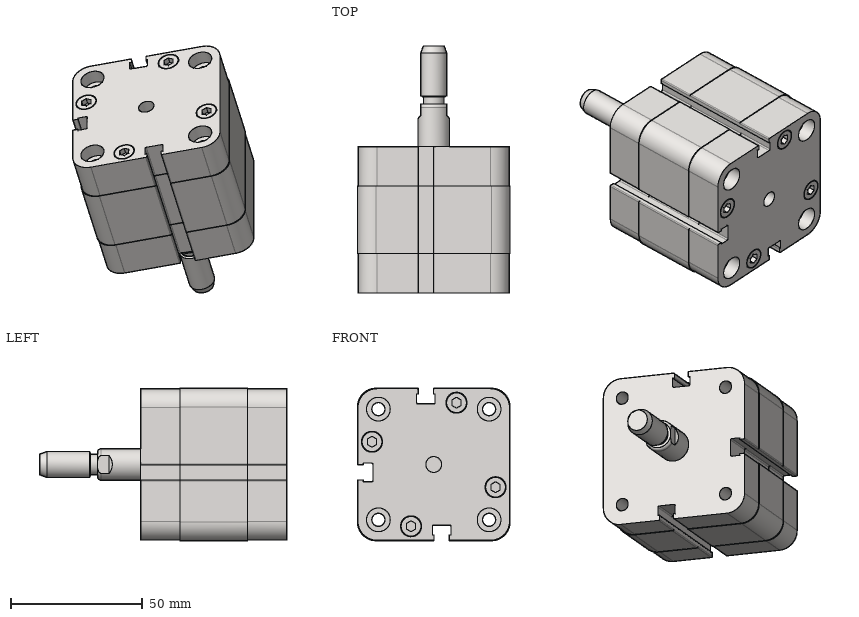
import cadquery as cq
import math

total_length = 94.0
housing_length = 55.65
cap_length = 14.9

barrel_side = 58.1
cap_side = 57.6
corner_radius = 7.1

slot_offset = 3.0
mouth_width = 5.6
undercut_width = 7.0
lip_thickness = 2.3
cap_slot_depth = 5.9
barrel_slot_depth = 6.1
mouth_rounding = 0.4
lip_rounding = 0.2
floor_rounding = 0.5

mount_position = 21.1
mount_diameter = 4.9
mount_counterbore = 9.0
mount_counterbore_depth = 5.5

centre_diameter = 6.0
centre_depth = 9.4

screw_near_offset = 8.65
screw_far_offset = 23.5
screw_seat_diameter = 8.0
screw_head_diameter = 7.5
screw_gap_depth = 3.8
hex_across_flats = 3.6
hex_depth = 2.35
hex_turn = 30

rod_diameter = 12.0
shoulder_setback = 22.0
shoulder_length = 1.4
shoulder_radius = 1.5
flat_spacing = 10.0
flat_length = 4.4
flat_runout = 1.2

thread_diameter = 10.0
thread_setback = 19.4
thread_root_diameter = 8.6
thread_bevel_length = 0.4
groove_diameter = 7.9
tip_diameter = 8.0
tip_length = 2.7


def square_section(side, slot_depth, start, length):
    """Rounded square bar along Y from start, with T-slots in its top, left and bottom faces."""
    bar = (
        cq.Workplane("XY")
        .box(side, length, side)
        .edges("|Y")
        .fillet(corner_radius)
        .translate((0, start + length / 2, 0))
    )
    slot = slot_cutter(side / 2, slot_depth, start, length)
    for angle in (0, -90, -180):
        bar = bar.cut(slot.rotate((0, 0, 0), (0, 1, 0), angle))
    return bar


def slot_cutter(half_side, slot_depth, start, length):
    """T-slot of the top face: rounded floor corners and lips, and a mouth with rounded outer edges."""
    lip_bottom = barrel_side / 2 - lip_thickness
    floor = barrel_side / 2 - slot_depth
    mouth_half = mouth_width / 2
    undercut_half = undercut_width / 2
    flare_half = mouth_half + mouth_rounding
    round_start = half_side - mouth_rounding
    return (
        cq.Workplane("XZ", origin=(-slot_offset, start, 0))
        .moveTo(-undercut_half + floor_rounding, floor)
        .lineTo(undercut_half - floor_rounding, floor)
        .radiusArc((undercut_half, floor + floor_rounding), -floor_rounding)
        .lineTo(undercut_half, lip_bottom)
        .lineTo(mouth_half + lip_rounding, lip_bottom)
        .radiusArc((mouth_half, lip_bottom + lip_rounding), lip_rounding)
        .lineTo(mouth_half, round_start)
        .radiusArc((flare_half, half_side), mouth_rounding)
        .lineTo(-flare_half, half_side)
        .radiusArc((-mouth_half, round_start), mouth_rounding)
        .lineTo(-mouth_half, lip_bottom + lip_rounding)
        .radiusArc((-mouth_half - lip_rounding, lip_bottom), lip_rounding)
        .lineTo(-undercut_half, lip_bottom)
        .lineTo(-undercut_half, floor + floor_rounding)
        .radiusArc((-undercut_half + floor_rounding, floor), -floor_rounding)
        .close()
        .extrude(-length)
    )


def rear_workplane():
    """Sketch plane on the rear face: local x is X, local y is Z, and negative extrusions go to +Y."""
    return cq.Workplane("XZ")


def mounting_holes():
    """Counterbored corner holes that run through the housing."""
    spacing = 2 * mount_position
    centres = rear_workplane().rect(spacing, spacing, forConstruction=True).vertices()
    through = centres.circle(mount_diameter / 2).extrude(-housing_length)
    seats = centres.circle(mount_counterbore / 2).extrude(-mount_counterbore_depth)
    return through.union(seats)


def screw_recesses():
    """Ring gaps around the screw heads and their hexagon sockets."""
    points = [
        (screw_near_offset, screw_far_offset),
        (-screw_far_offset, screw_near_offset),
        (-screw_near_offset, -screw_far_offset),
        (screw_far_offset, -screw_near_offset),
    ]
    gaps = (
        rear_workplane()
        .pushPoints(points)
        .circle(screw_seat_diameter / 2)
        .circle(screw_head_diameter / 2)
        .extrude(-screw_gap_depth)
    )
    hex_across_corners = hex_across_flats / math.cos(math.pi / 6)
    socket = (
        rear_workplane()
        .polygon(6, hex_across_corners)
        .extrude(-hex_depth)
        .rotate((0, 0, 0), (0, 1, 0), hex_turn)
    )
    recesses = gaps
    for x, z in points:
        recesses = recesses.union(socket.translate((x, 0, z)))
    return recesses


def piston_rod():
    """Turned rod with a rounded shoulder, relief groove and threaded end."""
    shoulder_y = total_length - shoulder_setback
    thread_y = total_length - thread_setback
    round_y = shoulder_y - shoulder_length
    rod_radius = rod_diameter / 2
    shoulder_drop = shoulder_radius - math.sqrt(shoulder_radius**2 - shoulder_length**2)
    rod = (
        cq.Workplane("XY")
        .moveTo(0, housing_length)
        .lineTo(rod_radius, housing_length)
        .lineTo(rod_radius, round_y)
        .radiusArc((rod_radius - shoulder_drop, shoulder_y), -shoulder_radius)
        .lineTo(groove_diameter / 2, shoulder_y)
        .lineTo(groove_diameter / 2, thread_y)
        .lineTo(thread_root_diameter / 2, thread_y)
        .lineTo(thread_diameter / 2, thread_y + thread_bevel_length)
        .lineTo(thread_diameter / 2, total_length - tip_length)
        .lineTo(tip_diameter / 2, total_length)
        .lineTo(0, total_length)
        .close()
        .revolve(360, (0, 0, 0), (0, 1, 0))
    )
    flat_end = shoulder_y - flat_length
    flat_x = flat_spacing / 2
    flat = (
        cq.Workplane("XY")
        .polyline([
            (flat_x, shoulder_y),
            (flat_x, flat_end),
            (rod_radius, flat_end - flat_runout),
            (rod_radius, shoulder_y),
        ])
        .close()
        .extrude(rod_radius, both=True)
    )
    return rod.cut(flat).cut(flat.mirror("YZ"))


barrel_length = housing_length - 2 * cap_length
front_cap_start = cap_length + barrel_length
rear_cap = square_section(cap_side, cap_slot_depth, 0, cap_length)
barrel = square_section(barrel_side, barrel_slot_depth, cap_length, barrel_length)
front_cap = square_section(cap_side, cap_slot_depth, front_cap_start, cap_length)
housing = rear_cap.union(barrel).union(front_cap)

centre_hole = rear_workplane().circle(centre_diameter / 2).extrude(-centre_depth)

result = housing.cut(mounting_holes()).cut(screw_recesses()).cut(centre_hole).union(piston_rod())